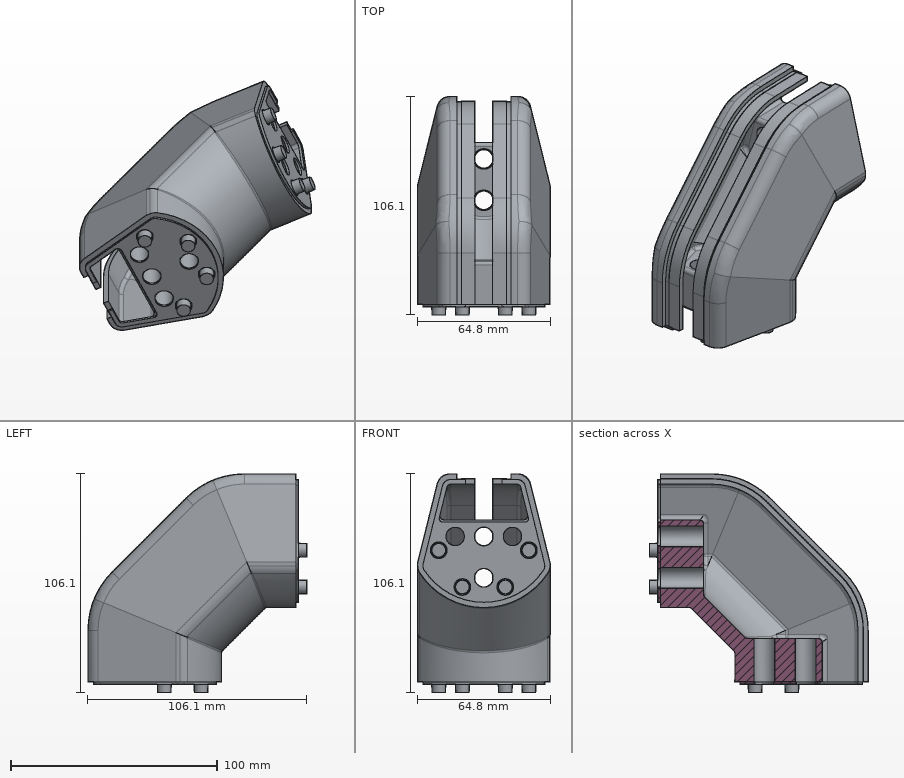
import cadquery as cq
import math


SIZE = 106.1
PEG_HEIGHT = 5.3
FAR = 3 * SIZE
TOLERANCE = 0.01

HALF_WIDTH = 32.0
TOP_HALF_WIDTH = 21.4
SHOULDER_Z = 63.5
BELLY_RADIUS = 37.1
BELLY_BOTTOM_Z = 41.3
CORNER_RADIUS = 6.5

MITRE_Y = 46.8
BEND_ANGLE = 45.0
BEND_RADIUS = 40.0
CREASE_RADIUS = 1.5

WALL = 5.0
BELLY_WALL = 8.5
HOLLOW_CORNER_RADIUS = 2.0

SLOT_WIDTH = 8.6
LEDGE_WIDTH = 26.1
LEDGE_DEPTH = 2.5
LAND_WIDTH = 21.8
LAND_DEPTH = 2.3

BLOCK_TOP_Z = 83.8
BLOCK_DEPTH = 21.0
BLOCK_EDGE_RADIUS = 2.0
BLOCK_FACE_Y = PEG_HEIGHT + BLOCK_DEPTH

HOLE_DIAMETER = 10.0
GASKET_HOLE_DIAMETER = 8.9
HOLE_SPACING = 13.9
UPPER_HOLE_Z = 75.8
LOWER_HOLE_Z = 55.7
HOLE_CENTRES = [
    (-HOLE_SPACING, UPPER_HOLE_Z),
    (0, UPPER_HOLE_Z),
    (HOLE_SPACING, UPPER_HOLE_Z),
    (0, LOWER_HOLE_Z),
]

PEG_BASE_DIAMETER = 7.0
PEG_TIP_DIAMETER = 6.6
GASKET_PEG_HOLE_DIAMETER = 8.1
PEG_CENTRES = [(-21.9, 69.1), (-10.4, 51.3), (10.4, 51.3), (21.9, 69.1)]

GASKET_THICKNESS = 1.3
GASKET_INSET = 2.8
GASKET_BELLY_INSET = 2.5
GASKET_CORNER_RADIUS = 3.9
OPENING_BOTTOM_Z = 82.8
OPENING_CORNER_RADIUS = 1.6
GASKET_GAP = 17.7


def mirror_to_bottom(body):
    """Mirror a front-end body across the plane Y = Z."""
    return body.mirror(cq.Vector(0, 1, -1))


def with_bottom_copy(body):
    return body.union(mirror_to_bottom(body))


def plate(points):
    """A polygon in Y and Z, extruded far to both sides of X = 0."""
    return cq.Workplane("YZ").polyline(points).close().extrude(FAR / 2, both=True)


def round_bars(centres, diameter, start_y, end_y):
    """Round bars along Y."""
    sketch = cq.Workplane("XZ", origin=(0, start_y, 0)).pushPoints(centres)
    return sketch.circle(diameter / 2).extrude(start_y - end_y)


def section_bar(start_y, end_y, inset, belly_inset, corner_radius, shoulders=True):
    """A bar along Y with the tube section moved inwards by `inset`, its belly by `belly_inset`.

    Without shoulders the sides slope on until they meet the belly. The corners beside the
    belly are rounded, the top corners are sharp.
    """
    length = end_y - start_y
    side_slope = (HALF_WIDTH - TOP_HALF_WIDTH) / (SIZE - SHOULDER_Z)
    foot_half_width = TOP_HALF_WIDTH + side_slope * SIZE
    plane = cq.Workplane("XZ", origin=(0, start_y, 0))

    trapezium = plane.polyline(
        [
            (-TOP_HALF_WIDTH, SIZE),
            (TOP_HALF_WIDTH, SIZE),
            (foot_half_width, 0),
            (-foot_half_width, 0),
        ]
    ).close()
    if inset:
        trapezium = trapezium.offset2D(-inset, "intersection")
    bar = trapezium.extrude(-length)
    if shoulders:
        bar = bar.intersect(cq.Workplane("XY").box(2 * (HALF_WIDTH - inset), FAR, FAR))

    belly_centre_z = BELLY_BOTTOM_Z + BELLY_RADIUS
    belly = plane.center(0, belly_centre_z).circle(BELLY_RADIUS - belly_inset).extrude(-length)
    above_belly = plane.center(0, belly_centre_z + FAR / 2).rect(FAR, FAR).extrude(-length)
    bar = bar.intersect(belly.union(above_belly))
    return bar.edges("|Y").edges("<Z").fillet(corner_radius)


def round_top_corners(bar, radius):
    return bar.faces(">Z").edges("|Y").fillet(radius)


def outer_band(depth, width=FAR):
    """All space beyond the rounded outer face moved inwards by `depth`, over a width in X."""
    radius = BEND_RADIUS - depth
    arc_centre_y = MITRE_Y - BEND_RADIUS * math.tan(math.radians(BEND_ANGLE / 2))
    arc_centre_z = SIZE - BEND_RADIUS
    face = SIZE - depth

    def arc_point(angle):
        turn = math.radians(angle)
        return arc_centre_y + radius * math.sin(turn), arc_centre_z + radius * math.cos(turn)

    arc_middle = arc_point(BEND_ANGLE / 2)
    arc_end = arc_point(BEND_ANGLE)
    outline = (
        cq.Workplane("YZ")
        .moveTo(-FAR, face)
        .lineTo(arc_centre_y, face)
        .threePointArc(arc_middle, arc_end)
        .lineTo(*arc_end[::-1])
        .threePointArc(arc_middle[::-1], (face, arc_centre_y))
        .lineTo(face, -FAR)
        .lineTo(FAR, -FAR)
        .lineTo(FAR, FAR)
        .lineTo(-FAR, FAR)
        .close()
    )
    return outline.extrude(width / 2, both=True)


def elbow_half(inset, belly_inset, corner_radius, middle_shoulders):
    """The half of the bent tube beside the front end, running on past the end face.

    The middle segment is the end segment mirrored across the mitre plane.
    """
    half_bend = math.radians(BEND_ANGLE / 2)
    lean = FAR * math.tan(half_bend)
    behind_mitre = plate(
        [(MITRE_Y + lean, SIZE + FAR), (MITRE_Y - lean, SIZE - FAR), (FAR, SIZE - FAR), (FAR, SIZE + FAR)]
    )
    beyond_symmetry_plane = plate([(-FAR, -FAR), (FAR, FAR), (FAR, -FAR)])

    def segment(shoulders):
        bar = section_bar(-PEG_HEIGHT, SIZE, inset, belly_inset, corner_radius, shoulders)
        bar = bar.cut(behind_mitre).cut(outer_band(inset))
        return round_top_corners(bar, corner_radius)

    mitre_normal = cq.Vector(0, math.cos(half_bend), -math.sin(half_bend))
    middle = segment(middle_shoulders).mirror(mitre_normal, (0, MITRE_Y, SIZE))
    return segment(shoulders=True).union(middle.cut(beyond_symmetry_plane))


def crease_edge(tube):
    """The curved edge in the inner corner of the front bend, where two bellies meet."""

    def is_crease(edge):
        centre = edge.Center()
        mitre_y = MITRE_Y - (SIZE - centre.z) * math.tan(math.radians(BEND_ANGLE / 2))
        on_mitre = math.isclose(centre.y, mitre_y, abs_tol=TOLERANCE)
        return on_mitre and math.isclose(centre.x, 0, abs_tol=TOLERANCE) and centre.z < SHOULDER_Z

    return tube.edges().filter(is_crease)


def solid_elbow():
    half = elbow_half(0, 0, CORNER_RADIUS, middle_shoulders=False)
    half = crease_edge(half).fillet(CREASE_RADIUS)
    end_trim = plate([(-FAR, -FAR), (PEG_HEIGHT, -FAR), (PEG_HEIGHT, FAR), (-FAR, FAR)])
    return with_bottom_copy(half).cut(with_bottom_copy(end_trim))


def hollow():
    """The space inside the elbow, less the two end blocks with their rounded edges."""
    block = plate([(-FAR, BLOCK_TOP_Z), (BLOCK_FACE_Y, BLOCK_TOP_Z), (BLOCK_FACE_Y, -FAR), (-FAR, -FAR)])
    half = elbow_half(WALL, BELLY_WALL, HOLLOW_CORNER_RADIUS, middle_shoulders=True).cut(block)

    def in_floor(edge):
        box = edge.BoundingBox()
        return abs(box.zmin - BLOCK_TOP_Z) + abs(box.zmax - BLOCK_TOP_Z) < TOLERANCE

    def in_block_face(edge):
        box = edge.BoundingBox()
        return abs(box.ymin - BLOCK_FACE_Y) + abs(box.ymax - BLOCK_FACE_Y) < TOLERANCE

    half = half.edges("|Y").filter(in_floor).fillet(HOLLOW_CORNER_RADIUS)
    half = half.edges().filter(in_block_face).fillet(BLOCK_EDGE_RADIUS)
    return with_bottom_copy(half)


def recess():
    """The cutters for the slot through the outer wall and the land and lower ledge on each side."""
    land_strip = cq.Workplane("XY").box(LAND_WIDTH, FAR, FAR)
    ledges = outer_band(LEDGE_DEPTH, LEDGE_WIDTH).cut(land_strip)
    lands = outer_band(LAND_DEPTH, LAND_WIDTH)
    slot = outer_band(WALL + HOLLOW_CORNER_RADIUS, SLOT_WIDTH)
    return ledges, lands, slot


def pegs():
    taper = math.degrees(math.atan((PEG_BASE_DIAMETER - PEG_TIP_DIAMETER) / 2 / PEG_HEIGHT))
    base = cq.Workplane("XZ", origin=(0, PEG_HEIGHT, 0)).pushPoints(PEG_CENTRES)
    return base.circle(PEG_BASE_DIAMETER / 2).extrude(PEG_HEIGHT, taper=taper)


def make_housing():
    body = solid_elbow().cut(hollow())
    for cutter in recess():
        body = body.cut(cutter)
    holes = round_bars(HOLE_CENTRES, HOLE_DIAMETER, 0, BLOCK_FACE_Y)
    return body.cut(with_bottom_copy(holes)).union(with_bottom_copy(pegs()))


def make_front_gasket():
    front_y = PEG_HEIGHT - GASKET_THICKNESS
    span = (front_y, PEG_HEIGHT)
    gasket = section_bar(*span, GASKET_INSET, GASKET_BELLY_INSET, GASKET_CORNER_RADIUS, shoulders=False)
    gasket = round_top_corners(gasket, GASKET_CORNER_RADIUS)

    below_opening = plate([(-FAR, OPENING_BOTTOM_Z), (FAR, OPENING_BOTTOM_Z), (FAR, -FAR), (-FAR, -FAR)])
    opening = section_bar(*span, WALL, WALL, HOLLOW_CORNER_RADIUS)
    opening = round_top_corners(opening, HOLLOW_CORNER_RADIUS).cut(below_opening)
    opening = opening.edges("|Y").edges("<Z").fillet(OPENING_CORNER_RADIUS)

    gap_height = SIZE - OPENING_BOTTOM_Z - HOLLOW_CORNER_RADIUS
    gap = cq.Workplane("XY").box(GASKET_GAP, FAR, 2 * gap_height).translate((0, 0, SIZE))
    holes = round_bars(HOLE_CENTRES, GASKET_HOLE_DIAMETER, *span)
    peg_holes = round_bars(PEG_CENTRES, GASKET_PEG_HOLE_DIAMETER, *span)
    return gasket.cut(opening).cut(gap).cut(holes).cut(peg_holes)


housing = make_housing()
front_gasket = make_front_gasket()
bottom_gasket = mirror_to_bottom(front_gasket)
result = cq.Compound.makeCompound(
    [housing.solids().val(), front_gasket.solids().val(), bottom_gasket.solids().val()]
)